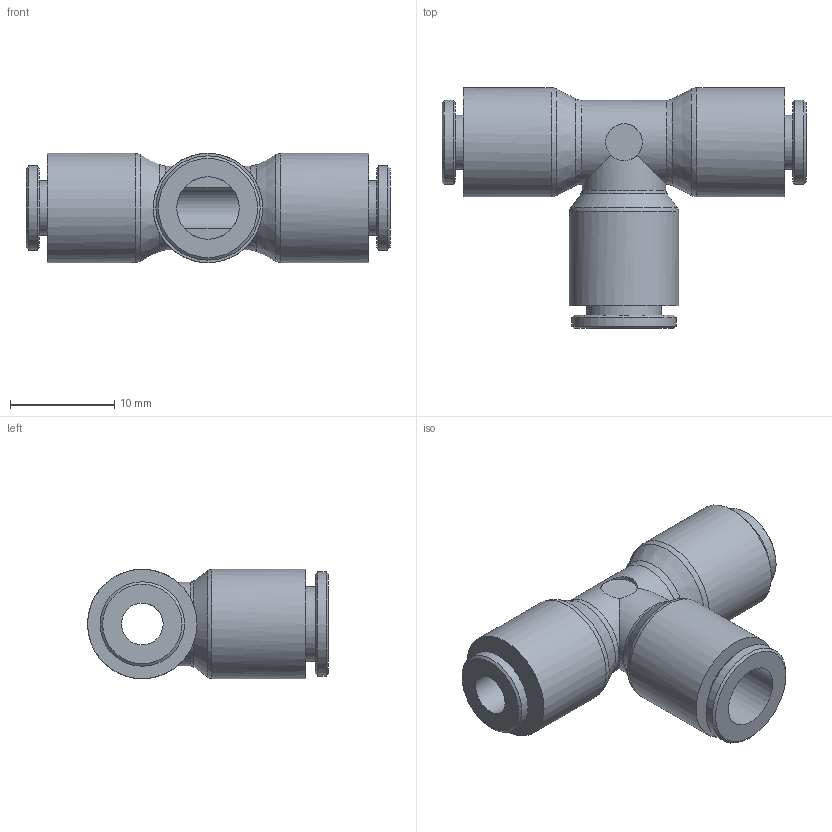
import cadquery as cq


overall_length = 34.94
overall_depth = 23.11
body_radius = 5.25
neck_radius = 4.025
collar_edge_length = 0.2
collar_edge_depth = 0.24

run_arm = dict(
    neck_end=4.38,
    shoulder_end=6.72,
    neck_blend=1.4,
    shoulder_blend=1.15,
    body_end=15.43,
    collar_start=16.2,
    tip=overall_length / 2,
    stem_radius=2.6,
    collar_radius=4.05,
)
branch_arm = dict(
    neck_end=4.8,
    shoulder_end=6.45,
    neck_blend=0.6,
    shoulder_blend=0.7,
    body_end=15.7,
    collar_start=16.6,
    tip=overall_depth - body_radius,
    stem_radius=3.6,
    collar_radius=5.0,
)

run_bore_radius = 2.0
branch_bore_radius = 3.0

flat_radius = 1.77
flat_height = 3.6


def revolve_about_x(points):
    """Turn a closed half profile of (distance, radius) points about the X axis."""
    return cq.Workplane("XY").polyline(points).close().revolve(360, (0, 0, 0), (1, 0, 0))


def round_circle(solid, distance, radius):
    """Fillet the circular edge centred on the X axis at the given distance."""
    return solid.edges(cq.selectors.NearestToPointSelector((distance, 0, 0))).fillet(radius)


def arm_body(arm):
    """Neck, conical shoulder and cylindrical body, with the cone blended at both ends."""
    body = revolve_about_x([
        (0, 0),
        (0, neck_radius),
        (arm["neck_end"], neck_radius),
        (arm["shoulder_end"], body_radius),
        (arm["body_end"], body_radius),
        (arm["body_end"], 0),
    ])
    body = round_circle(body, arm["neck_end"], arm["neck_blend"])
    return round_circle(body, arm["shoulder_end"], arm["shoulder_blend"])


def release_collar(arm):
    """Stem and flanged collar, with both rims of the flange chamfered."""
    rim_radius = arm["collar_radius"] - collar_edge_depth
    return revolve_about_x([
        (arm["body_end"], 0),
        (arm["body_end"], arm["stem_radius"]),
        (arm["collar_start"], arm["stem_radius"]),
        (arm["collar_start"], rim_radius),
        (arm["collar_start"] + collar_edge_length, arm["collar_radius"]),
        (arm["tip"] - collar_edge_length, arm["collar_radius"]),
        (arm["tip"], rim_radius),
        (arm["tip"], 0),
    ])


def make_arm(arm, angle):
    """One complete solid arm, turned about Z from the +X direction."""
    solid = arm_body(arm).union(release_collar(arm))
    return solid.rotate((0, 0, 0), (0, 0, 1), angle)


def run_bore():
    """Through bore along X."""
    start = cq.Workplane("YZ", origin=(-run_arm["tip"], 0, 0))
    return start.circle(run_bore_radius).extrude(2 * run_arm["tip"])


def branch_bore():
    """Flat-bottomed bore from the branch tip to the axis of the run."""
    axis_plane = cq.Workplane("XZ")
    return axis_plane.circle(branch_bore_radius).extrude(branch_arm["tip"])


def top_flat():
    """Round pocket cutter that leaves a flat floor on top of the crossing."""
    floor = cq.Workplane("XY", origin=(0, 0, flat_height))
    return floor.circle(flat_radius).extrude(body_radius - flat_height)


tee = make_arm(run_arm, 0)
tee = tee.union(make_arm(run_arm, 180))
tee = tee.union(make_arm(branch_arm, -90))

result = tee.cut(run_bore()).cut(branch_bore()).cut(top_flat())